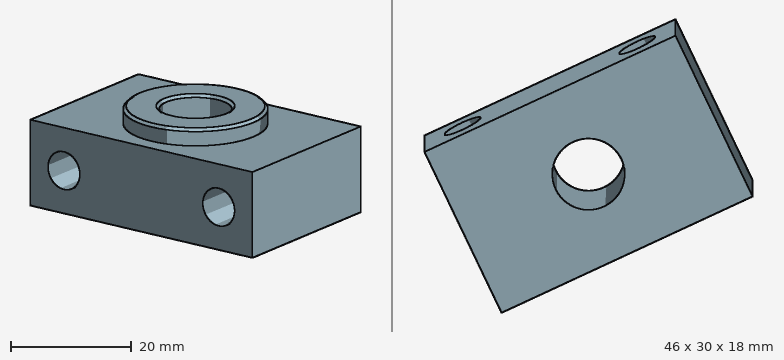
import cadquery as cq

length = 46.0
width = 30.0
total_height = 18.0
boss_height = 3.0
block_height = total_height - boss_height

boss_diameter = 24.0
bore_diameter = 12.0
edge_chamfer = 0.5

mount_diameter = 6.6
mount_spacing = 32.0


def make_block():
    return cq.Workplane("XY").box(length, width, block_height, centered=(True, True, False))


def make_boss():
    """Boss on the block's top face, chamfered around its upper rim."""
    boss = cq.Workplane("XY").workplane(offset=block_height).circle(boss_diameter / 2).extrude(boss_height)
    return boss.faces(">Z").edges().chamfer(edge_chamfer)


def make_bore():
    """Vertical through bore, widened by a chamfer at the top of the boss."""
    bore = cq.Workplane("XY").circle(bore_diameter / 2).extrude(total_height)
    mouth_plane = cq.Workplane("XY").workplane(offset=total_height)
    mouth = mouth_plane.circle(bore_diameter / 2 + edge_chamfer).extrude(-edge_chamfer, taper=45)
    return bore.union(mouth)


def make_mount_holes():
    centers = [(side * mount_spacing / 2, block_height / 2) for side in (-1, 1)]
    plane = cq.Workplane("XZ").pushPoints(centers)
    return plane.circle(mount_diameter / 2).extrude(width / 2, both=True)


result = make_block().union(make_boss()).cut(make_bore()).cut(make_mount_holes())